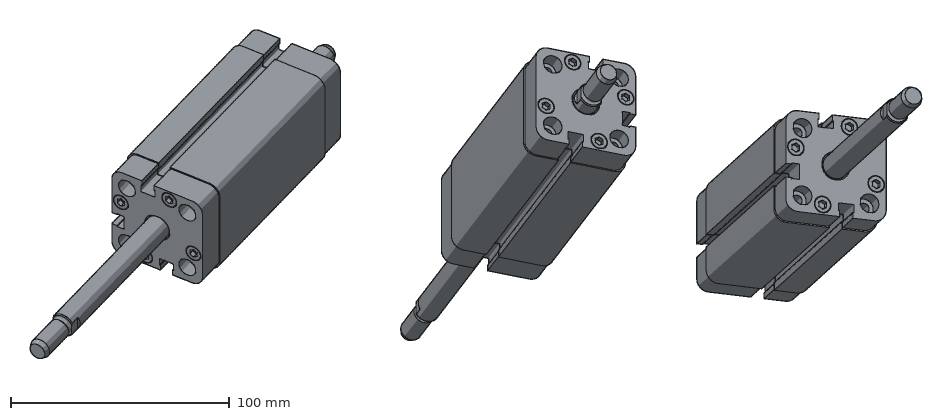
import cadquery as cq
import math


body_side = 50.0
body_corner_radius = 6.0
body_front = -7.8
body_rear = 82.7

cap_side = 48.8
cap_corner_radius = 5.8
cap_length = 14.3
cap_front = body_front - cap_length
cap_rear = body_rear + cap_length

slot_sides = (0, 1, 2)
slot_offset = 5.0
slot_opening = 6.0
slot_inner_width = 7.0
slot_floor = 18.0
slot_lip = 21.3
slot_floor_fillet = 0.5
cap_slot_clearance = 0.3

mount_pitch = 32.5
mount_hole_diameter = 5.0
mount_bore_diameter = 9.0
mount_bore_depth = 7.5

screw_offset = 6.5
screw_distance = 19.5
screw_head_diameter = 7.5
screw_bore_diameter = 8.0
screw_gap_depth = 2.5
socket_across_flats = 3.8
socket_depth = 2.5

rod_length = 250.5
rod_diameter = 12.0
rod_end_chamfer = 0.5
rod_recess_diameter = 13.5
rod_recess_depth = 0.8
stud_length = 21.5
stud_diameter = 10.0
stud_tip_diameter = 8.0
stud_tip_length = 2.5
undercut_diameter = 7.5
undercut_length = 2.5
flat_across = 10.0
flat_length = 5.0
flat_run_out = 0.8


def section(y):
    """Sketch plane across the rod at the given Y, extruding toward +Y; local x is -X, local y is Z."""
    return cq.Workplane(cq.Plane(origin=(0, y, 0), xDir=(-1, 0, 0), normal=(0, 1, 0)))


def turn_about_rod(shape, quarter_turns):
    """Turn a shape from the top side to the -X side, then to the bottom, and so on."""
    return shape.rotate((0, 0, 0), (0, 1, 0), -90 * quarter_turns)


def square_bar(side, corner_radius, start, end):
    bar = section(start).rect(side, side).extrude(end - start)
    return bar.edges("|Y").fillet(corner_radius)


def slot_cutter(clearance, start, end):
    """T-slot of the top side, with every wall moved outward by the clearance."""
    floor = slot_floor - clearance
    lip = slot_lip + clearance
    neck_top = body_side / 2
    inner = (
        section(start)
        .center(slot_offset, (floor + lip) / 2)
        .rect(slot_inner_width + 2 * clearance, lip - floor)
        .extrude(end - start)
        .edges("|Y and <Z")
        .fillet(slot_floor_fillet)
    )
    neck = (
        section(start)
        .center(slot_offset, (lip + neck_top) / 2)
        .rect(slot_opening + 2 * clearance, neck_top - lip)
        .extrude(end - start)
    )
    return inner.union(neck)


def slotted_bar(side, corner_radius, slot_clearance, start, end):
    bar = square_bar(side, corner_radius, start, end)
    slot = slot_cutter(slot_clearance, start, end)
    for quarter_turns in slot_sides:
        bar = bar.cut(turn_about_rod(slot, quarter_turns))
    return bar


def cap(start, end):
    return slotted_bar(cap_side, cap_corner_radius, cap_slot_clearance, start, end)


def housing():
    body = slotted_bar(body_side, body_corner_radius, 0, body_front, body_rear)
    return body.union(cap(cap_front, body_front)).union(cap(body_rear, cap_rear))


def mount_holes():
    """Through holes, counterbored from both ends."""

    def drill(diameter, start, end):
        corners = section(start).rect(mount_pitch, mount_pitch, forConstruction=True).vertices()
        return corners.circle(diameter / 2).extrude(end - start)

    holes = drill(mount_hole_diameter, cap_front, cap_rear)
    front_bores = drill(mount_bore_diameter, cap_front, cap_front + mount_bore_depth)
    rear_bores = drill(mount_bore_diameter, cap_rear - mount_bore_depth, cap_rear)
    return holes.union(front_bores).union(rear_bores)


def screw_recesses(face, inward):
    """Screw heads of one cap face; inward is the Y direction from the face into the cap."""
    centers = [
        (-screw_offset, screw_distance),
        (screw_distance, screw_offset),
        (screw_offset, -screw_distance),
        (-screw_distance, -screw_offset),
    ]
    bores = section(face).pushPoints(centers).circle(screw_bore_diameter / 2)
    heads = section(face).pushPoints(centers).circle(screw_head_diameter / 2)
    gap_reach = inward * screw_gap_depth
    gaps = bores.extrude(gap_reach).cut(heads.extrude(gap_reach))
    across_corners = socket_across_flats / math.cos(math.radians(30))
    hexagon = cq.Sketch().regularPolygon(across_corners / 2, 6)
    sockets = section(face).pushPoints(centers).placeSketch(hexagon)
    return gaps.union(sockets.extrude(inward * socket_depth))


def rod_recess(face, inward):
    return section(face).circle(rod_recess_diameter / 2).extrude(inward * rod_recess_depth)


def flat_cutter(shoulder):
    """Two wrench flats ending at the shoulder, each with a sloped run-out."""
    inner = flat_across / 2
    outer = rod_diameter / 2
    start = shoulder - flat_length
    flat = (
        cq.Workplane("XY")
        .moveTo(inner, shoulder)
        .lineTo(inner, start)
        .lineTo(outer, start - flat_run_out)
        .lineTo(outer, shoulder)
        .close()
        .extrude(rod_diameter / 2, both=True)
    )
    return flat.union(flat.mirror("YZ"))


def rod():
    """Turned rod; its half outline runs from the middle to the +Y tip and is mirrored."""
    tip = rod_length / 2
    shoulder = tip - stud_length
    undercut_end = shoulder + undercut_length
    half = (
        cq.Workplane("XY")
        .lineTo(rod_diameter / 2, 0)
        .lineTo(rod_diameter / 2, shoulder - rod_end_chamfer)
        .lineTo(rod_diameter / 2 - rod_end_chamfer, shoulder)
        .lineTo(stud_diameter / 2, shoulder)
        .threePointArc(
            (undercut_diameter / 2, (shoulder + undercut_end) / 2),
            (stud_diameter / 2, undercut_end),
        )
        .lineTo(stud_diameter / 2, tip - stud_tip_length)
        .lineTo(stud_tip_diameter / 2, tip)
        .lineTo(0, tip)
        .close()
        .revolve(360, (0, 0, 0), (0, 1, 0))
    )
    half = half.cut(flat_cutter(shoulder))
    return half.union(half.mirror("XZ"))


cylinder = housing().cut(mount_holes())
for face, inward in ((cap_front, 1), (cap_rear, -1)):
    cylinder = cylinder.cut(screw_recesses(face, inward)).cut(rod_recess(face, inward))

result = cylinder.union(rod())